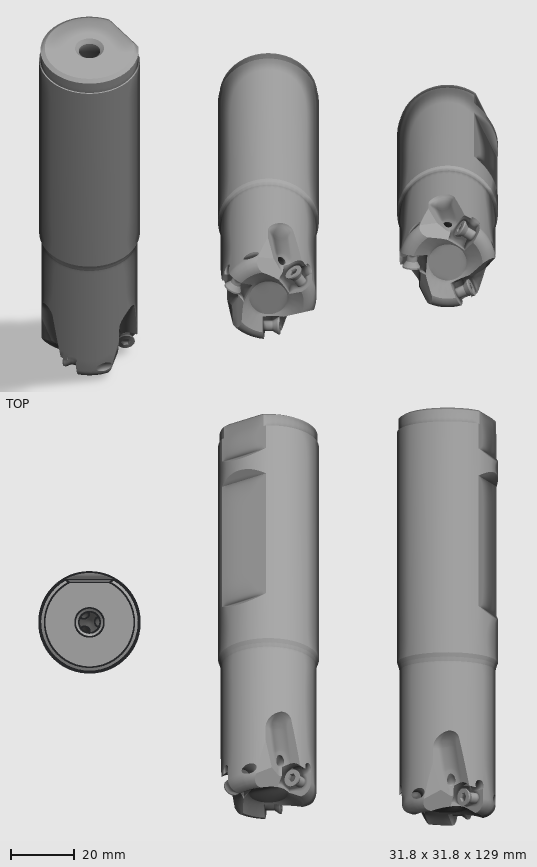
import cadquery as cq
import math


total_length = 128.99
shank_radius = 31.75 / 2
neck_radius = 15.1
neck_top = 47.2
groove_radius = 15.4
groove_top = 48.5
shank_bottom = 49.8
corner_radius = 4.0

end_radius = 15.45
end_length = 4.8
end_chamfer_radial = 1.35
end_chamfer_axial = 0.8

flat_distance = 13.4
land_top = 116.3
land_bottom = 107.4
front_flat_bottom = 65.5
flat_depth = shank_radius - flat_distance

bore_radius = 3.35
bore_mouth_radius = 4.55
bore_floor = 20.0
drill_point_angle = 118
coolant_radius = 1.35
coolant_start = cq.Vector(0.65, -1.9, bore_floor + 1)
coolant_exit = cq.Vector(8.1, -5.5, 10.4)
coolant_overrun = 2.0

dish_rim_radius = neck_radius - corner_radius
dish_floor_radius = 6.0
dish_depth = 2.9

tooth_angles = (180, 60, -60)
flute_floor = 8.0
flute_helix = 12
flute_wall_y = -1.9
flute_length = 26.0
flute_end_radius = 5.0
flute_corner_radius = 3.0
flute_clearance = 24.0
side_facet = (
    cq.Vector(flute_floor, -12.3, 13.3),
    cq.Vector(5.5, -14.1, 4.6),
    cq.Vector(flute_floor, -9.6, 6.6),
)
end_facet = (
    cq.Vector(flute_floor, -5.4, 4.8),
    cq.Vector(7.0, -10.4, 4.9),
    cq.Vector(4.2, -10.3, 0),
)

axial_rake = 4
seat_centre = (11.2, 2.0, 4.65)
seat_radius = 4.7
seat_depth = 6.5
relief_radius = 1.7
relief_y = 0.5
relief_z = 8.0
relief_inner_x = 9.0
screw_radius = 1.7
screw_length_below_seat = 4.0
head_radius = 2.8
head_top = 5.1
head_rim = 0.5
head_cone_height = 1.7
socket_across_corners = 3.0
socket_depth = 1.4

wall_plane = cq.Plane(
    origin=(0, flute_wall_y, 0),
    xDir=(1, 0, 0),
    normal=(0, -math.cos(math.radians(flute_helix)), -math.sin(math.radians(flute_helix))),
)
seat_plane = cq.Plane(
    origin=seat_centre,
    xDir=(1, 0, 0),
    normal=(0, -math.cos(math.radians(axial_rake)), -math.sin(math.radians(axial_rake))),
)


def turn(tooth, angle):
    return tooth.rotate((0, 0, 0), (0, 0, 1), angle)


def blank():
    """Turned outline of shank, relief step, neck and rounded cutting end."""
    end_bottom = total_length - end_length
    arc_mid = corner_radius * (1 - math.sqrt(0.5))
    outline = (
        cq.Workplane("XZ")
        .moveTo(0, 0)
        .lineTo(neck_radius - corner_radius, 0)
        .threePointArc((neck_radius - arc_mid, arc_mid), (neck_radius, corner_radius))
        .lineTo(neck_radius, neck_top)
        .lineTo(groove_radius, groove_top)
        .lineTo(shank_radius, shank_bottom)
        .lineTo(shank_radius, end_bottom)
        .lineTo(end_radius, end_bottom)
        .lineTo(end_radius, total_length - end_chamfer_axial)
        .lineTo(end_radius - end_chamfer_radial, total_length)
        .lineTo(0, total_length)
        .close()
    )
    return outline.revolve(360, (0, 0, 0), (0, 1, 0))


def clamping_flats():
    """Material removed for the two flats; their ends run out at 45 degrees, the rear edge is chamfered."""
    rear = (
        cq.Workplane("YZ")
        .moveTo(flat_distance, land_top)
        .lineTo(flat_distance, total_length - end_chamfer_axial)
        .lineTo(flat_distance - end_chamfer_axial, total_length)
        .lineTo(shank_radius, total_length)
        .lineTo(shank_radius, land_top - flat_depth)
        .close()
        .extrude(shank_radius, both=True)
    )
    front = (
        cq.Workplane("YZ")
        .moveTo(flat_distance, front_flat_bottom)
        .lineTo(flat_distance, land_bottom)
        .lineTo(shank_radius, land_bottom + flat_depth)
        .lineTo(shank_radius, front_flat_bottom - flat_depth)
        .close()
        .extrude(shank_radius, both=True)
    )
    return rear.union(front)


def coolant_bore():
    """Central bore with a countersunk mouth and a drill-point floor."""
    mouth_depth = bore_mouth_radius - bore_radius
    point_depth = bore_radius / math.tan(math.radians(drill_point_angle / 2))
    outline = (
        cq.Workplane("XZ")
        .moveTo(0, bore_floor - point_depth)
        .lineTo(bore_radius, bore_floor)
        .lineTo(bore_radius, total_length - mouth_depth)
        .lineTo(bore_mouth_radius, total_length)
        .lineTo(0, total_length)
        .close()
    )
    return outline.revolve(360, (0, 0, 0), (0, 1, 0))


def end_dish():
    """Conical hollow with a flat floor in the cutting end."""
    outline = (
        cq.Workplane("XZ")
        .lineTo(dish_rim_radius, 0)
        .lineTo(dish_floor_radius, dish_depth)
        .lineTo(0, dish_depth)
        .close()
    )
    return outline.revolve(360, (0, 0, 0), (0, 1, 0))


def beyond_facet(first, second, third):
    """Block lying on the outer side of the plane through three points."""
    normal = (second - first).cross(third - first)
    plane = cq.Plane(origin=first.toTuple(), xDir=(0, 0, 1), normal=normal.toTuple())
    return cq.Workplane(plane).rect(4 * flute_clearance, 4 * flute_clearance).extrude(flute_clearance)


def flute():
    """Chip space: flat floor, leaning wall, rounded run-out and a wider gullet at the cutting end."""
    arc_centre_x = flute_floor + flute_end_radius
    arc_centre_z = flute_length - flute_end_radius
    arc_reach = flute_end_radius * math.sqrt(0.5)
    inner_edges = cq.selectors.BoxSelector(
        (0, -flute_clearance, -flute_clearance / 2),
        (0.9 * flute_clearance, flute_clearance, 2 * flute_clearance),
    )
    channel = (
        cq.Workplane(wall_plane)
        .moveTo(flute_floor, -flute_clearance)
        .lineTo(flute_floor, arc_centre_z)
        .threePointArc(
            (arc_centre_x - arc_reach, arc_centre_z + arc_reach),
            (arc_centre_x, flute_length),
        )
        .lineTo(flute_clearance, flute_length)
        .lineTo(flute_clearance, -flute_clearance)
        .close()
        .extrude(flute_clearance)
        .faces(">Y")
        .edges(inner_edges)
        .fillet(flute_corner_radius)
    )
    ahead_of_wall = (
        cq.Workplane(wall_plane)
        .center(flute_clearance, 0)
        .rect(2 * flute_clearance, 2 * arc_centre_z)
        .extrude(flute_clearance)
    )
    for facet in (side_facet, end_facet):
        channel = channel.union(beyond_facet(*facet).intersect(ahead_of_wall))
    return channel


def insert_seat():
    """Seat for a round insert, open at the cutting end, with a radial relief hole along its rear corner."""
    recess = (
        cq.Workplane(seat_plane)
        .moveTo(-seat_radius, 0)
        .threePointArc((0, seat_radius), (seat_radius, 0))
        .lineTo(seat_radius, -2 * seat_radius)
        .lineTo(-seat_radius, -2 * seat_radius)
        .close()
        .extrude(seat_depth)
    )
    relief = (
        cq.Workplane("YZ", origin=(relief_inner_x, relief_y, relief_z))
        .circle(relief_radius)
        .extrude(shank_radius)
    )
    return recess.union(relief)


def screw_hole():
    """Hole along the seat axis, leaving through the back of the tooth."""
    return cq.Workplane(seat_plane).circle(screw_radius).extrude(-2 * shank_radius)


def coolant_hole():
    """Branch from the floor of the bore to the flute."""
    direction = coolant_exit - coolant_start
    length = direction.Length + coolant_overrun
    return cq.Workplane(obj=cq.Solid.makeCylinder(coolant_radius, length, coolant_start, direction))


def build_cutter():
    cutter = blank().cut(clamping_flats()).cut(coolant_bore()).cut(end_dish())
    tooth_cuts = (flute(), insert_seat(), screw_hole(), coolant_hole())
    for angle in tooth_angles:
        for tooth_cut in tooth_cuts:
            cutter = cutter.cut(turn(tooth_cut, angle))
    return cutter


def clamping_screw():
    """Countersunk screw with a hexagon socket, standing in its hole above the seat."""
    cone_top = head_top - head_rim
    cone_bottom = cone_top - head_cone_height
    profile_plane = cq.Plane(origin=seat_centre, xDir=(1, 0, 0), normal=seat_plane.yDir * -1)
    screw = (
        cq.Workplane(profile_plane)
        .moveTo(0, -screw_length_below_seat)
        .lineTo(screw_radius, -screw_length_below_seat)
        .lineTo(screw_radius, cone_bottom)
        .lineTo(head_radius, cone_top)
        .lineTo(head_radius, head_top)
        .lineTo(0, head_top)
        .close()
        .revolve(360, (0, 0, 0), (0, 1, 0))
    )
    socket = (
        cq.Workplane(seat_plane)
        .workplane(offset=head_top)
        .polygon(6, socket_across_corners)
        .extrude(-socket_depth)
    )
    return screw.cut(socket)


cutter = build_cutter()
screws = [turn(clamping_screw(), angle) for angle in tooth_angles]

result = cq.Compound.makeCompound([cutter.val(), *[screw.val() for screw in screws]])